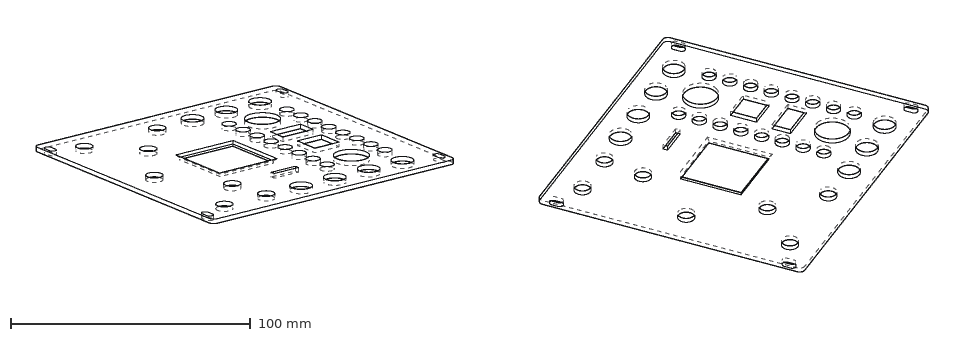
import cadquery as cq

WIDTH = 121.5
HEIGHT = 128.5
THICKNESS = 2.0
CORNER_RADIUS = 2.5

SLOT_LENGTH = 6.2
SLOT_WIDTH = 3.2
SLOT_X = 53.3
SLOT_Y = 61.3

INDICATOR_DIAMETER = 6.0
INDICATOR_COUNT = 8
INDICATOR_PITCH = 9.5
INDICATOR_ROW_SPACING = 30.6
DISPLAY_Y = 32.9

LARGE_DIAMETER = 15.0
LARGE_X = 30.2

CONTROL_DIAMETER = 9.5
CONTROL_X = 48.3
CONTROL_TOP_Y = 45.7
CONTROL_PITCH = 17.9
LEFT_CONTROL_COUNT = 3
RIGHT_CONTROL_COUNT = 4

JACK_DIAMETER = 7.2
JACK_OUTER_X = 47.5
JACK_INNER_X = 28.5
JACK_BOTTOM_Y = -47.8
JACK_INNER_Y = -28.8
JACK_LEFT_Y = -9.3
JACK_RIGHT_Y = -25.7

TALL_WINDOW = (8.5, 15.9)
TALL_WINDOW_X = -10.4
SQUARE_WINDOW = (11.8, 12.7)
SQUARE_WINDOW_X = 7.6
NARROW_WINDOW = (2.0, 12.7)
NARROW_WINDOW_CENTER = (28.1, -0.8)

SCREEN_WIDTH = 27.6
SCREEN_HEIGHT = 28.3
SCREEN_CENTER = (-0.3, -9.5)
SCREEN_BEVEL = 1.0


def round_holes(points, diameter):
    return cq.Workplane("XY").pushPoints(points).circle(diameter / 2).extrude(THICKNESS)


def window(size, center):
    return cq.Workplane("XY").center(*center).rect(*size).extrude(THICKNESS)


def screen_opening():
    """Straight opening with a bevel around its upper rim."""
    opening = window((SCREEN_WIDTH, SCREEN_HEIGHT), SCREEN_CENTER)
    bevel = (
        cq.Workplane("XY", origin=(*SCREEN_CENTER, THICKNESS - SCREEN_BEVEL))
        .rect(SCREEN_WIDTH, SCREEN_HEIGHT)
        .workplane(offset=SCREEN_BEVEL)
        .rect(SCREEN_WIDTH + 2 * SCREEN_BEVEL, SCREEN_HEIGHT + 2 * SCREEN_BEVEL)
        .loft(ruled=True)
    )
    return opening.union(bevel)


def mounting_slots():
    return (
        cq.Workplane("XY")
        .rect(2 * SLOT_X, 2 * SLOT_Y, forConstruction=True)
        .vertices()
        .slot2D(SLOT_LENGTH, SLOT_WIDTH)
        .extrude(THICKNESS)
    )


def control_column(x, count):
    return [(x, CONTROL_TOP_Y - row * CONTROL_PITCH) for row in range(count)]


indicator_points = [
    ((column - (INDICATOR_COUNT - 1) / 2) * INDICATOR_PITCH, DISPLAY_Y + side * INDICATOR_ROW_SPACING / 2)
    for column in range(INDICATOR_COUNT)
    for side in (-1, 1)
]
large_points = [(-LARGE_X, DISPLAY_Y), (LARGE_X, DISPLAY_Y)]
control_points = control_column(-CONTROL_X, LEFT_CONTROL_COUNT) + control_column(CONTROL_X, RIGHT_CONTROL_COUNT)
jack_points = [
    (-JACK_OUTER_X, JACK_BOTTOM_Y),
    (0, JACK_BOTTOM_Y),
    (JACK_OUTER_X, JACK_BOTTOM_Y),
    (-JACK_INNER_X, JACK_INNER_Y),
    (JACK_INNER_X, JACK_INNER_Y),
    (-JACK_OUTER_X, JACK_LEFT_Y),
    (JACK_OUTER_X, JACK_RIGHT_Y),
]

panel = (
    cq.Workplane("XY")
    .rect(WIDTH, HEIGHT)
    .extrude(THICKNESS)
    .edges("|Z")
    .fillet(CORNER_RADIUS)
)

cutouts = [
    mounting_slots(),
    round_holes(indicator_points, INDICATOR_DIAMETER),
    round_holes(large_points, LARGE_DIAMETER),
    round_holes(control_points, CONTROL_DIAMETER),
    round_holes(jack_points, JACK_DIAMETER),
    window(TALL_WINDOW, (TALL_WINDOW_X, DISPLAY_Y)),
    window(SQUARE_WINDOW, (SQUARE_WINDOW_X, DISPLAY_Y)),
    window(NARROW_WINDOW, NARROW_WINDOW_CENTER),
    screen_opening(),
]

result = panel
for cutout in cutouts:
    result = result.cut(cutout)